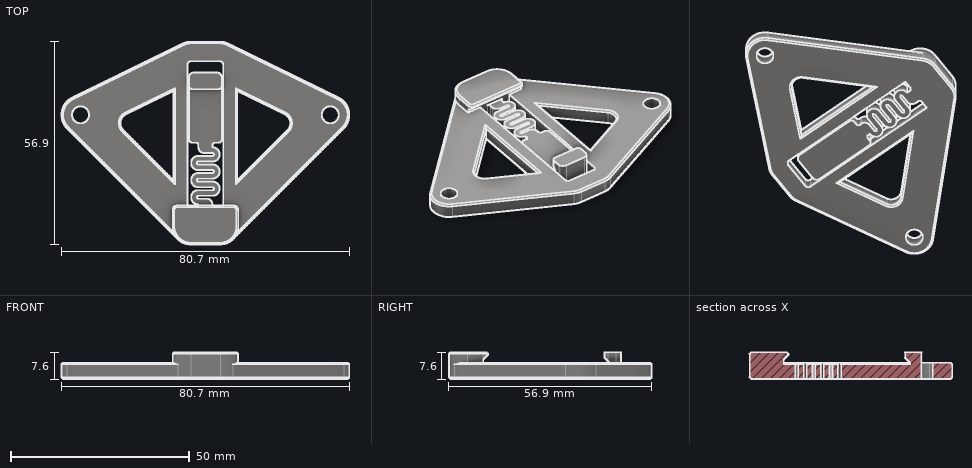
import cadquery as cq
import math

plate_height = 4.65
total_height = 7.6
edge_chamfer = 0.5

margin = 5.37
end_corner_radius = 5.1
hole_x = 35.0
hole_diameter = 4.7
end_centre_x = 4.0
plate_length = 56.9
bottom_centre_y = -(hole_x - end_centre_x)
bottom_y = bottom_centre_y - margin
top_y = bottom_y + plate_length
top_centre_y = top_y - margin

window_inner_x = 9.0
window_inset = 5.45
window_corner_radius = 2.8

slot_width = 10.0
slot_top_y = 15.0
slot_corner_radius = 1.0

lower_side_turn = math.radians(45)
bottom_vertex_x = end_centre_x + margin * math.tan(lower_side_turn / 2)
head_corner_setback = end_corner_radius * math.tan(lower_side_turn / 2)
head_half_width = bottom_vertex_x - head_corner_setback + end_corner_radius
head_front_y = -25.4
lip_overhang = 1.3
lip_nose_height = 0.8
head_wall_y = head_front_y - lip_overhang
slot_bottom_y = head_wall_y

tongue_width = 9.3
tongue_height = 4.2
tongue_top_y = 11.9
tongue_bottom_y = -7.85
tongue_corner_radius = 1.0
hook_length = 4.7
hook_back_radius = 1.5
hook_front_radius = 1.0
hook_undercut = 1.4

strip_width = 1.65
row_pitch = 2.4
row_count = 7
first_row_y = -9.9
turn_x = 2.0
neck_fillet = 0.6
neck_corner_radius = 1.65


def block(x_min, x_max, y_min, y_max, z_min, z_max):
    """Box given by its limits along each axis."""
    size = (x_max - x_min, y_max - y_min, z_max - z_min)
    return cq.Workplane("XY").box(*size, centered=False).translate((x_min, y_min, z_min))


def centre_line():
    """Closed hexagon midway between the plate's outer edge and the windows."""
    points = [
        (hole_x, 0),
        (end_centre_x, top_centre_y),
        (-end_centre_x, top_centre_y),
        (-hole_x, 0),
        (-end_centre_x, bottom_centre_y),
        (end_centre_x, bottom_centre_y),
    ]
    return cq.Workplane("XY").polyline(points).close()


def make_window():
    """Right-hand triangular window, without its edge chamfers."""
    inner = centre_line().offset2D(-window_inset, "intersection").extrude(plate_height)
    side = block(window_inner_x, hole_x, bottom_y, top_y, 0, plate_height)
    return inner.intersect(side).edges("|Z and >X").fillet(window_corner_radius)


def make_plate():
    """Plate with both windows; outline and window edges chamfered on both faces."""
    plate = centre_line().offset2D(margin, "intersection").extrude(plate_height)
    plate = plate.edges("|Z and (>X or <X)").fillet(margin)
    plate = plate.edges("|Z and (>Y or <Y)").fillet(end_corner_radius)
    window = make_window()
    plate = plate.cut(window).cut(window.mirror("YZ"))
    return plate.faces("<Z or >Z").chamfer(edge_chamfer)


def cut_holes(plate):
    holes = cq.Workplane("XY").pushPoints([(-hole_x, 0), (hole_x, 0)])
    return plate.cut(holes.circle(hole_diameter / 2).extrude(plate_height))


def cut_slot(plate):
    half = slot_width / 2
    slot = block(-half, half, slot_bottom_y, slot_top_y, 0, plate_height)
    return plate.cut(slot.edges("|Z and >Y").fillet(slot_corner_radius))


def make_head():
    width = head_half_width
    head = block(-width, width, bottom_y, head_front_y, edge_chamfer, total_height)
    head = head.edges("|Z and <Y").fillet(end_corner_radius)
    head = head.edges("|Z and >Y").fillet(lip_overhang)
    head = head.faces(">Z").chamfer(edge_chamfer)
    nose_z = total_height - lip_nose_height
    undercut = (
        cq.Workplane("YZ")
        .moveTo(head_front_y, nose_z)
        .lineTo(head_wall_y, nose_z - lip_overhang)
        .lineTo(head_wall_y, 0)
        .lineTo(head_front_y, 0)
        .close()
        .extrude(width, both=True)
    )
    return head.cut(undercut)


def make_tongue():
    half = tongue_width / 2
    tongue = block(-half, half, tongue_bottom_y, tongue_top_y, 0, tongue_height)
    tongue = tongue.edges("|Z and <Y").fillet(tongue_corner_radius)
    tongue = tongue.edges("|Z and >Y").fillet(hook_back_radius)
    hook_front_y = tongue_top_y - hook_length
    hook = block(-half, half, hook_front_y, tongue_top_y, tongue_height, total_height)
    hook = hook.edges("|Z and >Y").fillet(hook_back_radius)
    hook = hook.edges("|Z and <Y").fillet(hook_front_radius)
    undercut = (
        cq.Workplane("YZ")
        .moveTo(hook_front_y, tongue_height)
        .lineTo(hook_front_y + hook_undercut, tongue_height)
        .lineTo(hook_front_y + hook_undercut, plate_height)
        .lineTo(hook_front_y, plate_height + hook_undercut)
        .close()
        .extrude(half, both=True)
    )
    return tongue.union(hook.cut(undercut))


def make_turn(side, y):
    """Half ring joining two neighbouring rows at one side of the spring."""
    inner_radius = (row_pitch - strip_width) / 2
    outer_radius = inner_radius + strip_width
    ring = cq.Workplane("XY").circle(outer_radius).circle(inner_radius).extrude(tongue_height)
    half = block(0, outer_radius, -outer_radius, outer_radius, 0, tongue_height)
    turn = ring.intersect(half)
    if side < 0:
        turn = turn.mirror("YZ")
    return turn.translate((side * turn_x, y, 0))


def make_neck(attach_y, row_y, direction):
    """Neck from an end row to the body at attach_y; direction +1 is toward +Y.

    Built for the +Y end and turned by half a turn for the other end.
    """
    reach = abs(attach_y - row_y)
    half_strip = strip_width / 2
    neck = block(-turn_x, turn_x, -half_strip, reach, 0, tongue_height)
    neck = neck.edges("|Z and <X and <Y").fillet(neck_corner_radius)
    for side in (-1, 1):
        fillet_x = side * (turn_x + neck_fillet)
        x_limits = sorted((side * turn_x, fillet_x))
        web = block(*x_limits, reach - neck_fillet, reach, 0, tongue_height)
        round_cut = (
            cq.Workplane("XY")
            .center(fillet_x, reach - neck_fillet)
            .circle(neck_fillet)
            .extrude(tongue_height)
        )
        neck = neck.union(web.cut(round_cut))
    if direction < 0:
        neck = neck.rotate((0, 0, 0), (0, 0, 1), 180)
    return neck.translate((0, row_y, 0))


def make_spring():
    last_row_y = first_row_y - (row_count - 1) * row_pitch
    spring = make_neck(tongue_bottom_y, first_row_y, 1)
    spring = spring.union(make_neck(slot_bottom_y, last_row_y, -1))
    half_strip = strip_width / 2
    for row in range(1, row_count - 1):
        y = first_row_y - row * row_pitch
        spring = spring.union(block(-turn_x, turn_x, y - half_strip, y + half_strip, 0, tongue_height))
    for row in range(row_count - 1):
        side = 1 if row % 2 == 0 else -1
        spring = spring.union(make_turn(side, first_row_y - (row + 0.5) * row_pitch))
    return spring


frame = cut_slot(cut_holes(make_plate().union(make_head())))
result = frame.union(make_spring()).union(make_tongue())